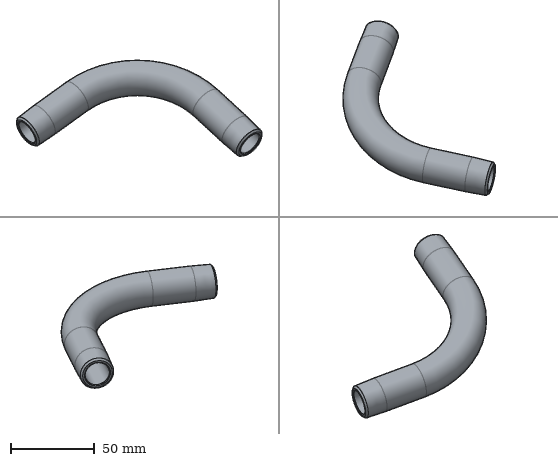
import cadquery as cq

overall_size = 105.6
outer_diameter = 21.3
bore_diameter = 14.9
bend_radius = 55.0

taper_length = 13.5
taper_ratio = 1 / 16
outer_chamfer = 1.2
bore_chamfer = 0.5

outer_radius = outer_diameter / 2
bore_radius = bore_diameter / 2
leg_length = overall_size - outer_radius - bend_radius
plain_length = leg_length - taper_length
tip_radius = outer_radius - taper_ratio * taper_length / 2
chamfer_start_radius = tip_radius + taper_ratio * outer_chamfer / 2


def straight_leg():
    """Hollow leg along +Z: plain from Z = 0, then tapered and chamfered at the free end."""
    profile = (
        cq.Workplane("XZ")
        .moveTo(bore_radius, 0)
        .lineTo(outer_radius, 0)
        .lineTo(outer_radius, plain_length)
        .lineTo(chamfer_start_radius, leg_length - outer_chamfer)
        .lineTo(chamfer_start_radius - outer_chamfer, leg_length)
        .lineTo(bore_radius + bore_chamfer, leg_length)
        .lineTo(bore_radius, leg_length - bore_chamfer)
        .close()
    )
    return profile.revolve(360, (0, 0, 0), (0, 1, 0))


def elbow():
    """Hollow quarter bend from the -Y leg at the origin round to the +X leg."""
    ring = cq.Workplane("XZ").circle(outer_radius).circle(bore_radius)
    return ring.revolve(90, (bend_radius, 1.1, 0), (bend_radius, 0, 0))


front_leg = straight_leg().rotate((0, 0, 0), (1, 0, 0), 90)
side_leg = straight_leg().rotate((0, 0, 0), (0, 1, 0), 90).translate((bend_radius, bend_radius, 0))

result = elbow().union(front_leg).union(side_leg)